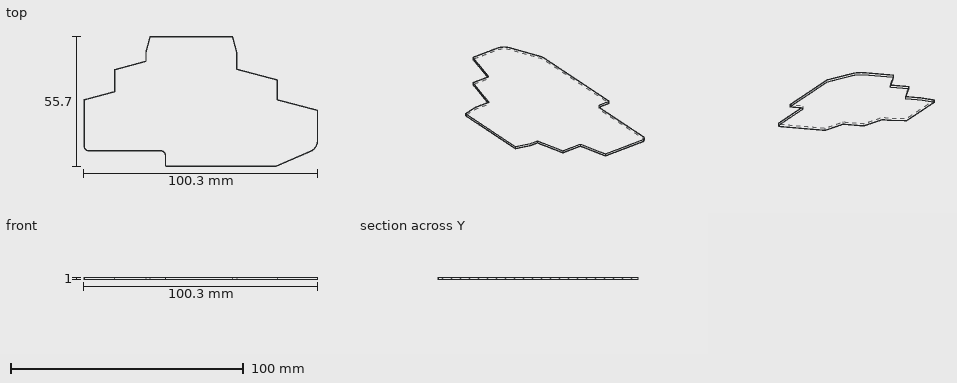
import cadquery as cq

length = 100.3
width = 55.7
thickness = 1.0

step_x = 34.9
step_height = 6.6
bevel_start_x = 82.5
bevel_end_y = 7.7

right_side_top = 24.1
right_stair_x = 83.0
right_stair_bottom = 28.6
right_stair_top = 37.1
right_neck_x = 65.6
right_neck_bottom = 41.7

left_side_top = 28.6
left_stair_x = 13.1
left_stair_bottom = 32.1
left_stair_top = 41.5
left_neck_x = 26.5
left_neck_bottom = 45.1

head_taper_y = 48.9
head_taper_inset = 1.8

small_radius = 0.5
corner_radius = 2.0
bevel_radius = 5.0

outline = [
    (0, step_height),
    (step_x, step_height),
    (step_x, 0),
    (bevel_start_x, 0),
    (length, bevel_end_y),
    (length, right_side_top),
    (right_stair_x, right_stair_bottom),
    (right_stair_x, right_stair_top),
    (right_neck_x, right_neck_bottom),
    (right_neck_x, head_taper_y),
    (right_neck_x - head_taper_inset, width),
    (left_neck_x + head_taper_inset, width),
    (left_neck_x, head_taper_y),
    (left_neck_x, left_neck_bottom),
    (left_stair_x, left_stair_top),
    (left_stair_x, left_stair_bottom),
    (0, left_side_top),
]


def round_corner(plate, x, y, radius):
    """Fillet the vertical edge of the plate nearest to (x, y)."""
    corner = cq.selectors.NearestToPointSelector((x, y, thickness / 2))
    return plate.edges("|Z").edges(corner).fillet(radius)


result = cq.Workplane("XY").polyline(outline).close().extrude(thickness)
result = round_corner(result, 0, step_height, corner_radius)
result = round_corner(result, step_x, step_height, corner_radius)
result = round_corner(result, step_x, 0, small_radius)
result = round_corner(result, bevel_start_x, 0, corner_radius)
result = round_corner(result, length, bevel_end_y, bevel_radius)